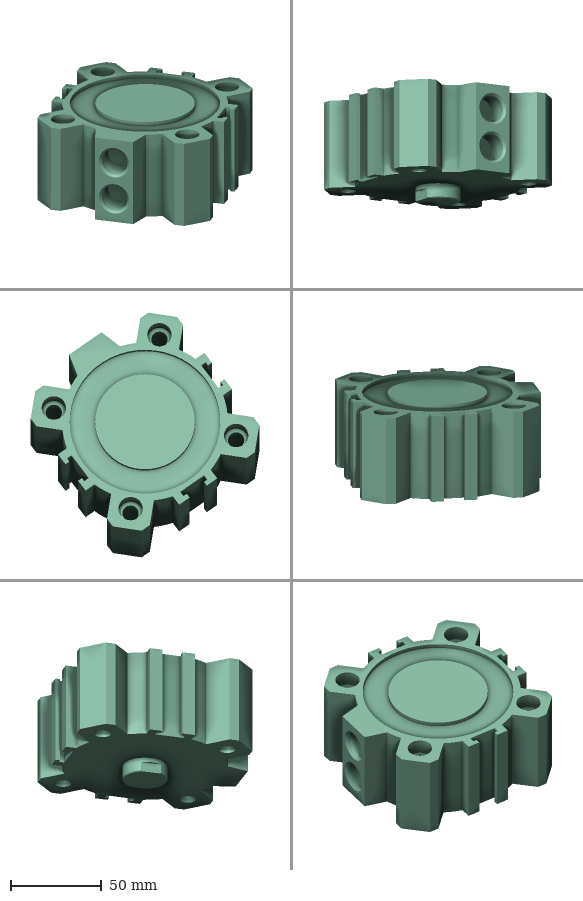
import cadquery as cq
import math

square_side = 100.0
height = 49.0
overall_height = 57.0
overall_depth = 106.0
barrel_diameter = 91.6

lug_width = 24.0
lug_reach = 62.6
bolt_offset = 36.0
bolt_hole_diameter = 9.0
bolt_seat_diameter = 13.5
bolt_seat_depth = 8.6

rail_width = 26.0
slot_mouth_width = 11.8
slot_inner_width = 16.2
slot_lip = 2.6
slot_floor_radius = 44.3

port_face_y = square_side / 2 - overall_depth
port_face_width = 22.2
port_flank_angle = 15.0
port_end_distance = 13.7
port_diameter = 14.9
port_mouth_diameter = 17.5
port_chamfer = (port_mouth_diameter - port_diameter) / 2
port_depth = 12.7

recess_diameter = 83.2
recess_depth = 2.5
pad_diameter = 55.0

rod_diameter = 25.0
rod_length = overall_height - height
rod_flat_width = 22.2
rod_collar_length = 2.5
rod_chamfer = 0.5

RAIL_ANGLES = (0, 90, 180)
BOLT_POINTS = [(x, y) for x in (-bolt_offset, bolt_offset) for y in (-bolt_offset, bolt_offset)]


def turn(shape, angle):
    """Turn a shape about the Z axis."""
    return shape.rotate((0, 0, 0), (0, 0, 1), angle)


def make_lugs():
    """Two crossed diagonal bars, with their corners trimmed by the square."""
    bar = cq.Workplane("XY").rect(2 * lug_reach, lug_width).extrude(height)
    trim = cq.Workplane("XY").rect(square_side, square_side).extrude(height)
    return turn(bar, 45).union(turn(bar, -45)).intersect(trim)


def make_rail(angle):
    """Rail block that reaches from the axis to the square side at the given angle."""
    rail = cq.Workplane("XY").rect(square_side / 2, rail_width).extrude(height)
    return turn(rail.translate((square_side / 4, 0, 0)), angle)


def make_t_slot(angle):
    """Cutter for the T slot that runs along the full height of one rail."""
    outer = square_side / 2
    inner = outer - slot_lip
    mouth = slot_mouth_width / 2
    wide = slot_inner_width / 2
    slot = (
        cq.Workplane("XY")
        .moveTo(slot_floor_radius, -wide)
        .lineTo(inner, -wide)
        .lineTo(inner, -mouth)
        .lineTo(outer, -mouth)
        .lineTo(outer, mouth)
        .lineTo(inner, mouth)
        .lineTo(inner, wide)
        .lineTo(slot_floor_radius, wide)
        .close()
        .extrude(height)
    )
    return turn(slot, angle)


def make_port_block():
    """Block that widens from the port face to a root buried inside the barrel."""
    root_y = -barrel_diameter / 4
    face_half = port_face_width / 2
    root_half = face_half + (root_y - port_face_y) * math.tan(math.radians(port_flank_angle))
    outline = [
        (-face_half, port_face_y),
        (face_half, port_face_y),
        (root_half, root_y),
        (-root_half, root_y),
    ]
    return cq.Workplane("XY").polyline(outline).close().extrude(height)


def make_port(z):
    """Cutter for one blind port with a chamfered mouth, drilled in from the port face."""
    port_plane = cq.Plane(origin=(0, port_face_y, z), xDir=(1, 0, 0), normal=(0, 1, 0))
    bore = cq.Workplane(port_plane).circle(port_diameter / 2).extrude(port_depth)
    mouth = (
        cq.Workplane(port_plane)
        .circle(port_mouth_diameter / 2)
        .workplane(offset=port_chamfer)
        .circle(port_diameter / 2)
        .loft()
    )
    return bore.union(mouth)


def make_recess():
    """Cutter for the ring recess, which leaves the middle pad standing."""
    floor = cq.Workplane("XY").workplane(offset=height - recess_depth)
    return floor.circle(recess_diameter / 2).circle(pad_diameter / 2).extrude(recess_depth)


def make_housing():
    body = cq.Workplane("XY").circle(barrel_diameter / 2).extrude(height)
    body = body.union(make_lugs()).union(make_port_block())
    for angle in RAIL_ANGLES:
        body = body.union(make_rail(angle)).cut(make_t_slot(angle))
    for z in (port_end_distance, height - port_end_distance):
        body = body.cut(make_port(z))
    body = body.cut(make_recess())
    return (
        body.faces(">Z")
        .workplane(origin=(0, 0, height))
        .pushPoints(BOLT_POINTS)
        .cboreHole(bolt_hole_diameter, bolt_seat_diameter, bolt_seat_depth)
    )


def make_rod():
    """Round rod end against the housing base, with two flats across X below a collar."""
    rod = cq.Workplane("XY").circle(rod_diameter / 2).extrude(-rod_length)
    rod = rod.faces("<Z").chamfer(rod_chamfer)
    collar = cq.Workplane("XY").rect(rod_diameter, rod_diameter).extrude(-rod_collar_length)
    flats = cq.Workplane("XY").rect(rod_flat_width, rod_diameter).extrude(-rod_length)
    return rod.intersect(collar.union(flats))


housing = make_housing()
rod = make_rod()

result = cq.Compound.makeCompound([housing.solids().val(), rod.solids().val()])